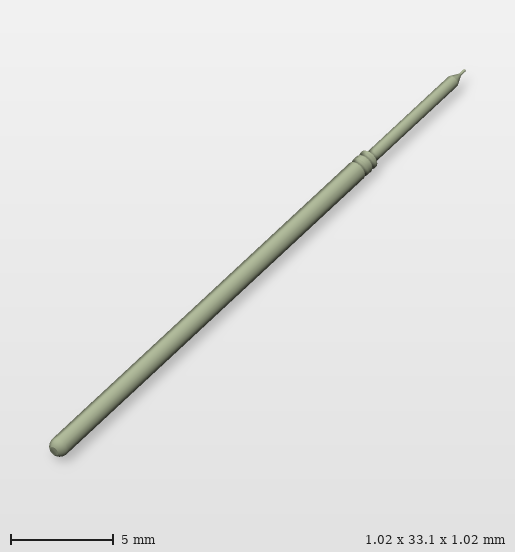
import cadquery as cq
import math

overall_length = 33.1
body_radius = 0.51

dome_flat_radius = 0.25
dome_height = math.sqrt(body_radius**2 - dome_flat_radius**2)

needle_radius = 0.32
needle_cone_length = 0.57
needle_point_radius = 0.07
needle_point_length = 0.43
needle_length = 6.75

groove_count = 2
groove_pitch = 0.6
groove_width = 0.3
groove_depth = 0.1
collar_width = 0.1

cone_end = overall_length - needle_point_length
cone_start = cone_end - needle_cone_length
shoulder = cone_start - needle_length


def revolve_about_y(profile):
    """Turn a closed half-profile into a full solid of revolution about Y."""
    return profile.revolve(360, (0, 0, 0), (0, 1, 0))


def make_body():
    """Round body with a truncated spherical dome at its blunt end."""
    arc_middle_angle = math.asin(dome_height / body_radius) / 2
    arc_middle = (
        body_radius * math.cos(arc_middle_angle),
        dome_height - body_radius * math.sin(arc_middle_angle),
    )
    profile = (
        cq.Workplane("XY")
        .lineTo(dome_flat_radius, 0)
        .threePointArc(arc_middle, (body_radius, dome_height))
        .lineTo(body_radius, shoulder)
        .lineTo(0, shoulder)
        .close()
    )
    return revolve_about_y(profile)


def make_needle():
    """Slender shank, then a cone leading to a thin point with a hemispherical end."""
    point_dome_start = overall_length - needle_point_radius
    dome_arc_offset = needle_point_radius * math.sqrt(0.5)
    profile = (
        cq.Workplane("XY")
        .moveTo(0, shoulder)
        .lineTo(needle_radius, shoulder)
        .lineTo(needle_radius, cone_start)
        .lineTo(needle_point_radius, cone_end)
        .lineTo(needle_point_radius, point_dome_start)
        .threePointArc((dome_arc_offset, point_dome_start + dome_arc_offset), (0, overall_length))
        .close()
    )
    return revolve_about_y(profile)


def make_groove(center):
    """Ring-shaped cutter for one V groove centred at the given height along Y."""
    profile = (
        cq.Workplane("XY")
        .moveTo(body_radius, center - groove_width / 2)
        .lineTo(body_radius - groove_depth, center)
        .lineTo(body_radius, center + groove_width / 2)
        .close()
    )
    return revolve_about_y(profile)


result = make_body().union(make_needle())
first_groove = shoulder - collar_width - groove_width / 2
for index in range(groove_count):
    result = result.cut(make_groove(first_groove - index * groove_pitch))